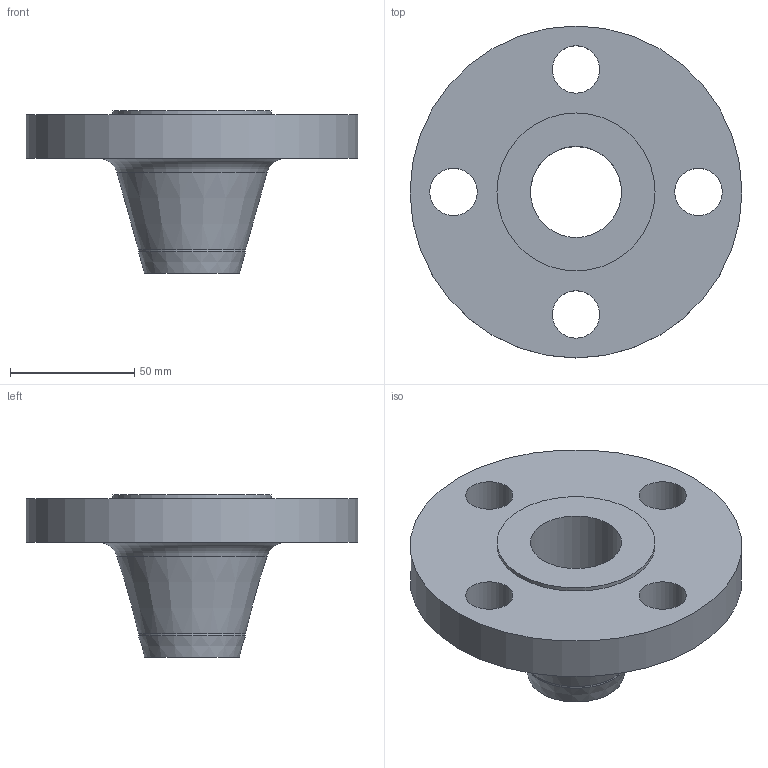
import cadquery as cq
import math

flange_diameter = 133.35
overall_height = 65.09
bore_diameter = 36.6

raised_face_height = 1.59
raised_face_diameter = 63.5
flange_thickness = 17.46

bolt_hole_count = 4
bolt_hole_diameter = 19.05
bolt_circle_diameter = 98.43

weld_end_diameter = 38.2
band_diameter = 42.9
bevel_height = 8.45
band_height = 0.8
hub_base_diameter = 63.5
hub_fillet_radius = 7.62

band_top = bevel_height + band_height
flange_top = overall_height - raised_face_height
flange_bottom = flange_top - flange_thickness


def hub_fillet_points():
    """Start, middle and end of the arc tangent to the cone and to the flange underside."""
    slope = math.atan2((hub_base_diameter - band_diameter) / 2, flange_bottom - band_top)
    fillet_start_z = flange_bottom - hub_fillet_radius * (1 - math.sin(slope))
    fillet_start_r = band_diameter / 2 + (fillet_start_z - band_top) * math.tan(slope)
    center_r = fillet_start_r + hub_fillet_radius * math.cos(slope)
    center_z = flange_bottom - hub_fillet_radius
    middle_angle = (math.pi - slope + math.pi / 2) / 2
    middle = (
        center_r + hub_fillet_radius * math.cos(middle_angle),
        center_z + hub_fillet_radius * math.sin(middle_angle),
    )
    return (fillet_start_r, fillet_start_z), middle, (center_r, flange_bottom)


def make_body():
    """Flange, raised face, hub and bore as one revolved profile (radius, height)."""
    fillet_start, fillet_middle, fillet_end = hub_fillet_points()
    return (
        cq.Workplane("XZ")
        .moveTo(bore_diameter / 2, 0)
        .lineTo(weld_end_diameter / 2, 0)
        .lineTo(band_diameter / 2, bevel_height)
        .lineTo(band_diameter / 2, band_top)
        .lineTo(*fillet_start)
        .threePointArc(fillet_middle, fillet_end)
        .lineTo(flange_diameter / 2, flange_bottom)
        .lineTo(flange_diameter / 2, flange_top)
        .lineTo(raised_face_diameter / 2, flange_top)
        .lineTo(raised_face_diameter / 2, overall_height)
        .lineTo(bore_diameter / 2, overall_height)
        .close()
        .revolve(360, (0, 0, 0), (0, 1, 0))
    )


def make_bolt_holes():
    """Bolt hole cutters, evenly spaced with the first one on the X axis."""
    return (
        cq.Workplane("XY")
        .workplane(offset=flange_bottom)
        .polarArray(bolt_circle_diameter / 2, 0, 360, bolt_hole_count)
        .circle(bolt_hole_diameter / 2)
        .extrude(flange_thickness)
    )


result = make_body().cut(make_bolt_holes())